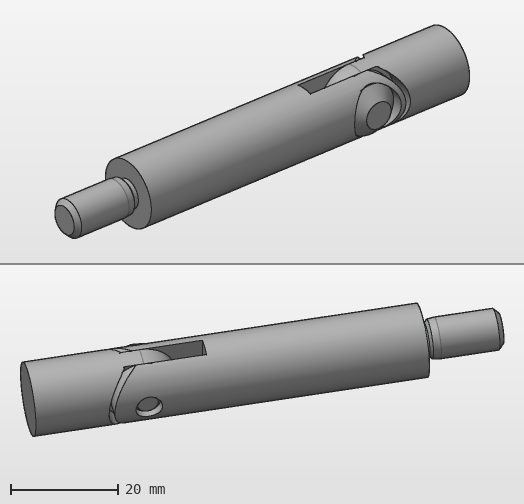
import cadquery as cq

ROD_RADIUS = 7.0
TOTAL_LENGTH = 90.0
TOP_END = 21.6
STUD_LENGTH = 15.0
STUD_TIP = TOP_END - TOTAL_LENGTH
SHOULDER = STUD_TIP + STUD_LENGTH

TONGUE_WIDTH = 3.8
SLOT_DEPTH = 12.0
FORK_END_CENTRE = -0.45
RELIEF_RADIUS = 7.65

STUD_RADIUS = 4.0
TIP_CHAMFER = 1.0
NECK_RADIUS = 3.1
NECK_LENGTH = 0.9
FLARE_RADIUS = 3.8
FLARE_END = 1.4
LEAD_END = 2.9

PIN_RADIUS = 2.5
PIN_CHAMFER = 0.5
PIN_END_X = -5.7
HEAD_RADIUS = 5.5
HEAD_SEAT_X = 3.0
HEAD_TOP_X = 7.3
HEAD_CHAMFER = 2.6


def cylinder_x(radius, x_start, x_end):
    """Cylinder on the hinge axis, between two X positions."""
    return cq.Workplane("YZ").workplane(offset=x_start).circle(radius).extrude(x_end - x_start)


def rod(y_start, y_end):
    """Length of the main round bar."""
    return cq.Workplane("XZ", origin=(0, y_end, 0)).circle(ROD_RADIUS).extrude(y_end - y_start)


def block(width, y_start, y_end):
    """Block centred on X and Z, spanning the full rod height."""
    length = y_end - y_start
    middle = (y_start + y_end) / 2
    return cq.Workplane("XY").box(width, length, 2 * ROD_RADIUS).translate((0, middle, 0))


def make_stud():
    """Stud with an undercut neck, a tapered lead and a chamfered tip."""
    return (
        cq.Workplane("XY")
        .moveTo(0, SHOULDER)
        .lineTo(NECK_RADIUS, SHOULDER)
        .lineTo(NECK_RADIUS, SHOULDER - NECK_LENGTH)
        .lineTo(FLARE_RADIUS, SHOULDER - FLARE_END)
        .lineTo(STUD_RADIUS, SHOULDER - LEAD_END)
        .lineTo(STUD_RADIUS, STUD_TIP + TIP_CHAMFER)
        .lineTo(STUD_RADIUS - TIP_CHAMFER, STUD_TIP)
        .lineTo(0, STUD_TIP)
        .close()
        .revolve(360, (0, 0, 0), (0, 1, 0))
    )


def make_fork():
    """Long body with a slotted, rounded end, a stepped pin hole and the stud."""
    bar = rod(SHOULDER, FORK_END_CENTRE + ROD_RADIUS)
    round_end = cylinder_x(ROD_RADIUS, -ROD_RADIUS, ROD_RADIUS).translate((0, FORK_END_CENTRE, 0))
    envelope = block(2 * ROD_RADIUS, SHOULDER, FORK_END_CENTRE).union(round_end)
    slot = block(TONGUE_WIDTH, -SLOT_DEPTH, ROD_RADIUS)
    pin_hole = cylinder_x(PIN_RADIUS, -ROD_RADIUS, ROD_RADIUS)
    head_recess = cylinder_x(HEAD_RADIUS, HEAD_SEAT_X, ROD_RADIUS)
    body = bar.intersect(envelope).cut(slot).cut(pin_hole).cut(head_recess)
    return body.union(make_stud())


def make_tongue():
    """Short body whose central, ball-ended tongue enters the fork slot."""
    bar = rod(0, TOP_END).union(cq.Workplane("XY").sphere(ROD_RADIUS))
    fork_space = cylinder_x(RELIEF_RADIUS, -ROD_RADIUS, ROD_RADIUS)
    fork_space = fork_space.union(block(2 * ROD_RADIUS, -ROD_RADIUS, 0))
    tongue_space = block(TONGUE_WIDTH, -RELIEF_RADIUS, RELIEF_RADIUS)
    cheek_relief = fork_space.cut(tongue_space)
    pin_hole = cylinder_x(PIN_RADIUS, -TONGUE_WIDTH / 2, TONGUE_WIDTH / 2)
    return bar.cut(cheek_relief).cut(pin_hole)


def make_pin():
    """Hinge pin with a chamfered plain end and a conical head."""
    shank = cylinder_x(PIN_RADIUS, PIN_END_X, HEAD_SEAT_X).faces("<X").chamfer(PIN_CHAMFER)
    head = cylinder_x(HEAD_RADIUS, HEAD_SEAT_X, HEAD_TOP_X).faces(">X").chamfer(HEAD_CHAMFER)
    return shank.union(head)


fork = make_fork()
tongue = make_tongue()
pin = make_pin()

result = cq.Compound.makeCompound([fork.solids().val(), tongue.solids().val(), pin.solids().val()])